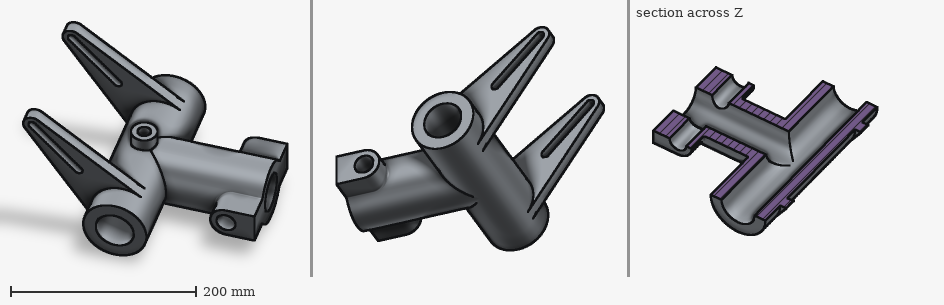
import cadquery as cq
import math

tube_radius = 35.8
bore_radius = 21.5
main_length = 214.5
branch_length = 143.2

arm_reach = 112.5
arm_tip_radius = 10.7
arm_thickness = 14.3
arm_center_y = 71.5
slot_radius = 4.5
slot_inner_offset = 50.0
arm_tip_offset = arm_reach - arm_tip_radius

boss_radius = 14.3
boss_hole_radius = 7.2
boss_top = 50.1

lug_radius = 18.0
lug_hole_radius = 10.7
lug_center_x = 111.0
lug_span = 120.0
lug_fillet = 2.5


def cylinder_y(radius, length, x=0):
    """Cylinder along Y, centered on the XZ plane."""
    return cq.Workplane("XZ").center(x, 0).circle(radius).extrude(length / 2, both=True)


def cylinder_x(radius):
    """Cylinder along X, from the main axis to the end of the branch."""
    return cq.Workplane("YZ").circle(radius).extrude(branch_length)


def arm(center_y):
    """Plate with edges tangent to the main tube and the rounded tip, with a 45-degree slot."""
    lean = math.radians(135)
    tip_distance = math.hypot(arm_tip_offset, arm_tip_offset)
    tangent_angle = math.acos((tube_radius - arm_tip_radius) / tip_distance)

    def on_tube(angle):
        return (tube_radius * math.cos(angle), tube_radius * math.sin(angle))

    def on_tip(angle):
        return (
            -arm_tip_offset + arm_tip_radius * math.cos(angle),
            arm_tip_offset + arm_tip_radius * math.sin(angle),
        )

    upper = lean - tangent_angle
    lower = lean + tangent_angle
    plane = cq.Workplane("XZ", origin=(0, center_y, 0))
    plate = (
        plane.moveTo(*on_tube(upper))
        .lineTo(*on_tip(upper))
        .threePointArc(on_tip(lean), on_tip(lower))
        .lineTo(*on_tube(lower))
        .threePointArc(on_tube(lean + math.pi), on_tube(upper))
        .close()
        .extrude(arm_thickness / 2, both=True)
    )
    slot_center = (arm_tip_offset + slot_inner_offset) / 2
    slot_run = math.sqrt(2) * (arm_tip_offset - slot_inner_offset)
    slot = (
        plane.center(-slot_center, slot_center)
        .slot2D(slot_run + 2 * slot_radius, 2 * slot_radius, math.degrees(lean))
        .extrude(arm_thickness, both=True)
    )
    return plate.cut(slot)


def lugs():
    """Round-nosed bar through the branch, forming a lug on each side."""
    flat_length = branch_length - lug_center_x
    block = cq.Workplane("XY").box(
        flat_length, lug_span, 2 * lug_radius, centered=(False, True, True)
    ).translate((lug_center_x, 0, 0))
    return cylinder_y(lug_radius, lug_span, lug_center_x).union(block)


branch = cylinder_x(tube_radius).union(lugs())
zone_margin = 2.5
lug_zone = cq.selectors.BoxSelector(
    (lug_center_x - lug_radius - zone_margin, -tube_radius, -lug_radius - zone_margin),
    (branch_length - zone_margin, tube_radius, lug_radius + zone_margin),
)
branch = branch.edges(lug_zone).fillet(lug_fillet)

body = cylinder_y(tube_radius, main_length).union(branch)
body = body.union(cq.Workplane("XY").circle(boss_radius).extrude(boss_top))
for side in (-1, 1):
    body = body.union(arm(side * arm_center_y))

body = body.cut(cylinder_y(bore_radius, main_length))
body = body.cut(cylinder_x(bore_radius))
body = body.cut(cq.Workplane("XY").circle(boss_hole_radius).extrude(boss_top))
result = body.cut(cylinder_y(lug_hole_radius, lug_span, lug_center_x))